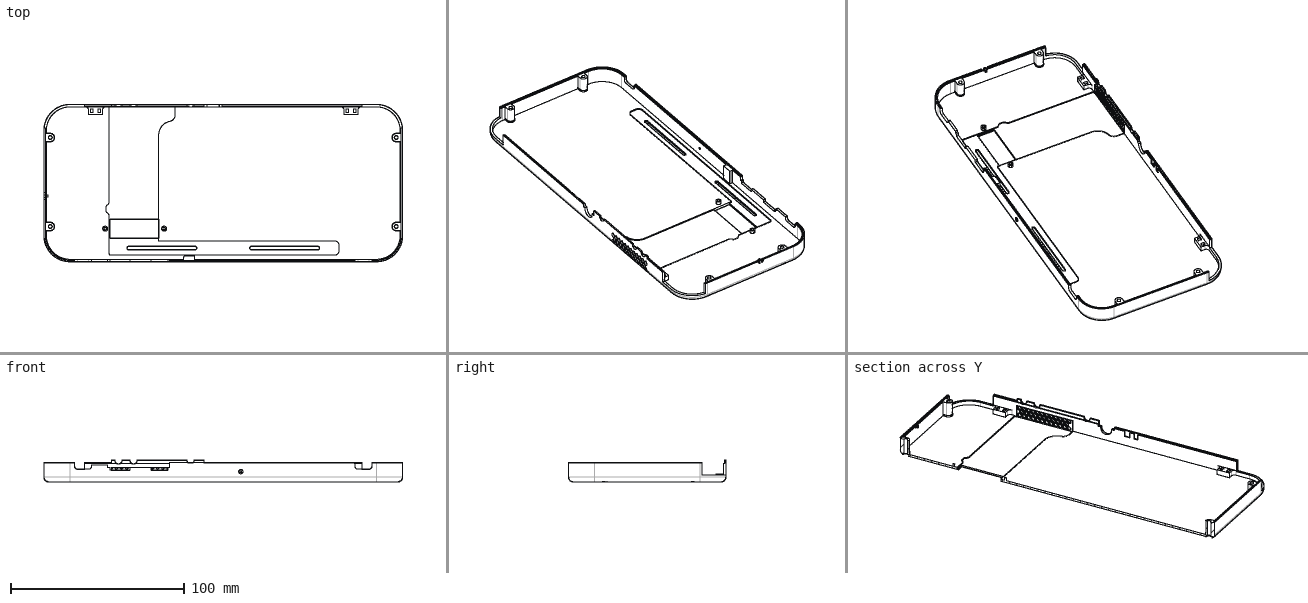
import cadquery as cq
import math

length = 207.0
width = 90.9
rim_height = 11.2
total_height = 12.6
corner_radius = 15.1
bottom_fillet = 3.0
wall = 1.5
lip_thickness = 0.8
lip_height = 0.5
floor_height = 1.7
recess_floor = 1.0

half_length = length / 2
half_width = width / 2
inner_x = half_length - wall
inner_y = half_width - wall
ledge_height = rim_height - lip_height
lip_corner_radius = corner_radius - lip_thickness
inner_corner_radius = corner_radius - wall
cut_margin = 2.0

low_wall_height = 4.1
rear_wall_end_x = 80.1
side_wall_end_y = 31.7

edge_start_x = -64.5
edge_end_x = -11.0
edge_thickness = 0.8
dip_diameter = 4.0
dip_center_z = 12.5
dip_positions = (-60.5, -51.8, -18.8)

scoop_x = -5.8
scoop_radius = 3.5
scoop_bottom = 5.4
scoop_mouth_width = 10.4
scoop_mouth_floor = 9.5
pocket_spans = ((6.2, 9.7), (12.6, 15.0))
pocket_floor = 7.5

vent_diameter = 2.5
vent_first_x = -63.1
vent_last_x = -30.5
vent_columns = 12
vent_row_heights = (2.5, 4.8, 7.0)
vent_pitch = (vent_last_x - vent_first_x) / (vent_columns - 1)
vent_panel_depth = 0.2
vent_panel_start_x = -64.5
vent_panel_top = 8.5

notch_inner_x = 76.0
notch_outer_x = 85.7
notch_floor = 7.5
notch_fillet = 1.7
step_end_x = -66.7
step_floor = 9.7
sunken_end_x = -31.0
sunken_floor = 8.5
window_floor = 6.8
window_spans = ((-65.2, -53.8), (-41.6, -31.9))

port_x = 10.1
port_z = 6.0
port_diameter = 2.5
port_depth = 0.6
port_bore = 1.0
block_start_x = -23.0
block_end_x = -16.5
block_depth = 1.9
block_chamfer = 0.6
scallop_y = -7.5
scallop_diameter = 4.0
scallop_rib_width = 1.5
nub_width = 1.0
nub_length = 0.8
nub_height = 1.2

recess_left_x = -65.8
recess_right_x = -37.3
recess_rear_x = -27.7
recess_bend_start_y = 27.7
recess_bend_end_y = 39.3
recess_bend_radius = 8.0
strip_front_y = -41.6
strip_rear_y = -33.3
strip_end_x = 66.9
strip_end_radius = 2.7
strip_corner_radius = 1.0
tongue_center_y = -15.0
tongue_half_length = 3.3
tongue_depth = 1.9

opening_left_x = -65.2
opening_front_y = -31.7
opening_rear_y = -21.0
slot_inner_x = 15.3
slot_outer_x = 55.5
slot_width = 1.9
slot_y = -37.5

post_x = 99.8
post_rows = (26.3, -25.0)
post_radius = 2.3
post_foot_radius = 2.5
post_foot_height = 2.5
post_bore = 2.03
post_counterbore = 4.0
post_counterbore_depth = 1.0
boss_positions = ((-68.0, -26.3), (-34.2, -26.3))
boss_diameter = 3.0
boss_bore = 1.43
boss_height = 1.7
clip_center_x = 73.7
clip_length = 8.0
clip_front_y = 39.5
clip_height = 4.8
clip_fillet = 1.9
clip_hole_pitch = 4.3
clip_hole_length = 1.5
clip_hole_width = 2.0
clip_hole_y = 41.8


def box(x_range, y_range, z_range):
    """Box between two limits along each axis, given in any order."""
    spans = [abs(end - start) for start, end in (x_range, y_range, z_range)]
    corner = [min(limits) for limits in (x_range, y_range, z_range)]
    return cq.Workplane("XY").box(*spans, centered=False).translate(tuple(corner))


def cylinder(x, y, diameter, z_start, z_end):
    return (
        cq.Workplane("XY", origin=(x, y, z_start))
        .circle(diameter / 2)
        .extrude(z_end - z_start)
    )


def rounded_slab(inset, radius, z_start, z_end):
    """Slab following the shell outline, moved inwards by the inset."""
    return (
        cq.Workplane("XY", origin=(0, 0, z_start))
        .rect(length - 2 * inset, width - 2 * inset)
        .extrude(z_end - z_start)
        .edges("|Z")
        .fillet(radius)
    )


front_wall_span = (-half_width - cut_margin, -inner_y)
rear_wall_span = (inner_y, half_width + cut_margin)


def through_rear_wall(x, z, diameter):
    """Round cutter along Y through the rear wall."""
    return (
        cq.Workplane("XZ", origin=(x, rear_wall_span[1], z))
        .circle(diameter / 2)
        .extrude(rear_wall_span[1] - rear_wall_span[0] + lip_thickness)
    )


def shell():
    body = rounded_slab(0, corner_radius, 0, rim_height).faces("<Z").edges().fillet(bottom_fillet)
    cavity = rounded_slab(wall, inner_corner_radius, floor_height, rim_height)
    ledge = rounded_slab(lip_thickness, lip_corner_radius, ledge_height, rim_height)
    return body.cut(cavity).cut(ledge)


def low_corner_cut(side):
    """Cutter lowering the wall around one rear corner; side is -1 (left) or 1 (right)."""
    return box(
        (side * rear_wall_end_x, side * (half_length + cut_margin)),
        (side_wall_end_y, half_width + cut_margin),
        (low_wall_height, total_height),
    )


def raised_edge():
    return box(
        (edge_start_x, edge_end_x),
        (half_width - edge_thickness, half_width),
        (ledge_height, total_height),
    )


def rear_wall_cuts():
    cuts = cq.Workplane("XY")
    pocket_depth_span = (inner_y, half_width - lip_thickness)
    for span in pocket_spans:
        cuts = cuts.add(box(span, pocket_depth_span, (pocket_floor, total_height)))
    for x in dip_positions:
        cuts = cuts.add(through_rear_wall(x, dip_center_z, dip_diameter))
    cuts = cuts.add(through_rear_wall(scoop_x, scoop_bottom + scoop_radius, 2 * scoop_radius))
    half_mouth = scoop_mouth_width / 2
    cuts = cuts.add(
        box(
            (scoop_x - half_mouth, scoop_x + half_mouth),
            rear_wall_span,
            (scoop_mouth_floor, rim_height),
        )
    )
    cuts = cuts.add(
        box(
            (vent_panel_start_x, recess_rear_x),
            (inner_y, inner_y + vent_panel_depth),
            (recess_floor, vent_panel_top),
        )
    )
    for row, z in enumerate(vent_row_heights):
        shift = row % 2
        for column in range(vent_columns - shift):
            x = vent_first_x + (column + shift / 2) * vent_pitch
            cuts = cuts.add(through_rear_wall(x, z, vent_diameter))
    return cuts


def front_notch(side):
    return (
        box(
            (side * notch_inner_x, side * notch_outer_x),
            front_wall_span,
            (notch_floor, total_height),
        )
        .edges("|Y and <Z")
        .fillet(notch_fillet)
    )


def front_wall_cuts():
    cuts = front_notch(-1).add(front_notch(1))
    cuts = cuts.add(box((-notch_inner_x, step_end_x), front_wall_span, (step_floor, total_height)))
    cuts = cuts.add(box((step_end_x, sunken_end_x), front_wall_span, (sunken_floor, total_height)))
    for span in window_spans:
        cuts = cuts.add(box(span, front_wall_span, (window_floor, total_height)))
    port = cq.Workplane("XZ", origin=(port_x, -half_width + port_depth, port_z))
    cuts = cuts.add(port.circle(port_diameter / 2).extrude(port_depth))
    cuts = cuts.add(port.circle(port_bore / 2).extrude(-wall))
    return cuts


def left_wall_scallop():
    """Half-round scallop in the lip, split by a rib in the middle."""
    lip_span = (-half_length, -half_length + lip_thickness)
    half_rib = scallop_rib_width / 2
    rib = box(lip_span, (scallop_y - half_rib, scallop_y + half_rib), (0, total_height))
    return (
        cq.Workplane("YZ", origin=(-half_length, scallop_y, rim_height))
        .circle(scallop_diameter / 2)
        .extrude(lip_thickness)
        .cut(rib)
    )


def left_wall_nub():
    return box(
        (-inner_x, -inner_x + nub_length),
        (scallop_y - nub_width / 2, scallop_y + nub_width / 2),
        (ledge_height - nub_height, ledge_height),
    )


def floor_recess():
    bend_width = recess_rear_x - recess_right_x
    bend_length = recess_bend_end_y - recess_bend_start_y
    bend_angle = 2 * math.atan(bend_width / bend_length)
    blend_radius = bend_length / math.sin(bend_angle) - recess_bend_radius

    def bend_point(angle):
        """Point on the bend, turned by the angle from its straight start."""
        return (
            recess_right_x + recess_bend_radius * (1 - math.cos(angle)),
            recess_bend_start_y + recess_bend_radius * math.sin(angle),
        )

    def blend_point(angle):
        """Point on the second arc, turned by the angle from its straight end."""
        return (
            recess_rear_x - blend_radius * (1 - math.cos(angle)),
            recess_bend_end_y - blend_radius * math.sin(angle),
        )

    tongue_x = recess_left_x - tongue_depth
    tongue_tip = tongue_half_length - tongue_depth
    main = (
        cq.Workplane("XY", origin=(0, 0, recess_floor))
        .moveTo(recess_left_x, strip_rear_y)
        .lineTo(recess_right_x, strip_rear_y)
        .lineTo(recess_right_x, recess_bend_start_y)
        .threePointArc(bend_point(bend_angle / 2), bend_point(bend_angle))
        .threePointArc(blend_point(bend_angle / 2), (recess_rear_x, recess_bend_end_y))
        .lineTo(recess_rear_x, inner_y)
        .lineTo(recess_left_x, inner_y)
        .lineTo(recess_left_x, tongue_center_y + tongue_half_length)
        .lineTo(tongue_x, tongue_center_y + tongue_tip)
        .lineTo(tongue_x, tongue_center_y - tongue_tip)
        .lineTo(recess_left_x, tongue_center_y - tongue_half_length)
        .close()
        .extrude(floor_height - recess_floor)
    )
    strip = (
        box(
            (recess_left_x, strip_end_x),
            (strip_front_y, strip_rear_y),
            (recess_floor, floor_height),
        )
        .edges("|Z and >X")
        .fillet(strip_end_radius)
        .edges("|Z and <X and <Y")
        .fillet(strip_corner_radius)
    )
    return main.union(strip)


def floor_openings():
    openings = box(
        (opening_left_x, recess_right_x),
        (opening_front_y, opening_rear_y),
        (0, floor_height),
    )
    slot_center_x = (slot_inner_x + slot_outer_x) / 2
    slots = (
        cq.Workplane("XY")
        .pushPoints([(-slot_center_x, slot_y), (slot_center_x, slot_y)])
        .slot2D(slot_outer_x - slot_inner_x, slot_width)
        .extrude(floor_height)
    )
    return openings.union(slots)


def post_prism(side, y, radius, height):
    """Round post joined to its side wall; side is -1 (left) or 1 (right)."""
    x = side * post_x
    web = box((x, side * inner_x), (y - radius, y + radius), (recess_floor, height))
    return cylinder(x, y, 2 * radius, recess_floor, height).union(web)


def clip(side):
    """Low block on the rear wall with two blind rectangular holes."""
    x = side * clip_center_x
    half = clip_length / 2
    block = box((x - half, x + half), (clip_front_y, inner_y), (recess_floor, clip_height))
    for end in (-1, 1):
        corner_x = x + end * half
        tip_x = corner_x + end * clip_fillet
        gusset = box((corner_x, tip_x), (inner_y - clip_fillet, inner_y), (recess_floor, clip_height))
        round_cut = cylinder(tip_x, inner_y - clip_fillet, 2 * clip_fillet, recess_floor, clip_height)
        block = block.union(gusset.cut(round_cut))
    holes = (
        cq.Workplane("XY", origin=(x, clip_hole_y, floor_height))
        .rarray(clip_hole_pitch, 2, 2, 1)
        .rect(clip_hole_length, clip_hole_width)
        .extrude(clip_height)
    )
    return block.cut(holes)


def front_block():
    return (
        box(
            (block_start_x, block_end_x),
            (-inner_y, -inner_y + block_depth),
            (recess_floor, ledge_height),
        )
        .edges("|Z and <X and >Y")
        .chamfer(block_chamfer)
    )


def cut_all(body, cutters):
    """Cut each solid of the collected cutters from the body."""
    for cutter in cutters.vals():
        body = body.cut(cq.Workplane(cutter))
    return body


result = shell().cut(floor_recess()).union(raised_edge())
result = cut_all(result, rear_wall_cuts())
result = cut_all(result, front_wall_cuts())
result = result.cut(left_wall_scallop()).union(left_wall_nub()).union(front_block())

for side in (-1, 1):
    result = result.cut(low_corner_cut(side)).union(clip(side))
    for y in post_rows:
        result = result.union(post_prism(side, y, post_radius, ledge_height))
        result = result.union(post_prism(side, y, post_foot_radius, post_foot_height))
        result = result.cut(cylinder(side * post_x, y, post_bore, 0, ledge_height))
        result = result.cut(cylinder(side * post_x, y, post_counterbore, 0, post_counterbore_depth))

result = result.cut(floor_openings())
for x, y in boss_positions:
    boss_top = floor_height + boss_height
    result = result.union(cylinder(x, y, boss_diameter, recess_floor, boss_top))
    result = result.cut(cylinder(x, y, boss_bore, floor_height, boss_top))